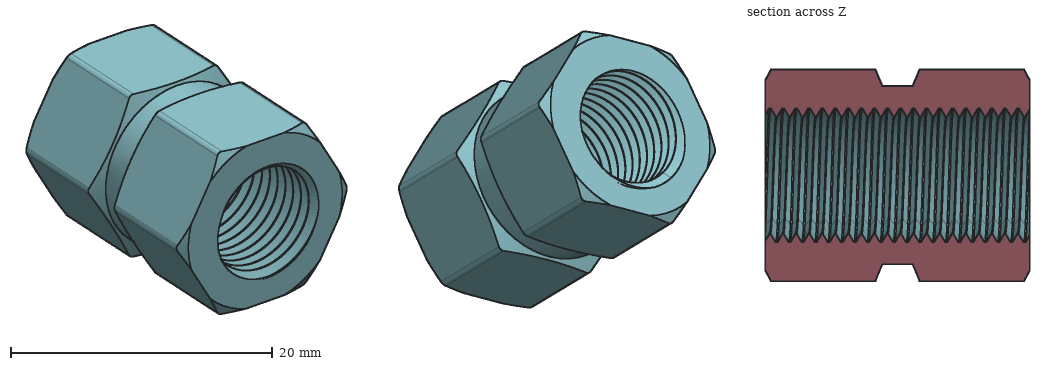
import cadquery as cq
import math

LENGTH = 20.3
ACROSS_FLATS = 14.2
CORNER_RADIUS = 0.5
ACROSS_CORNERS = ACROSS_FLATS / math.cos(math.radians(30))

NECK_LENGTH = 2.3
NECK_DIAMETER = 13.7
NECK_CHAMFER_ANGLE = 23.0

FACE_DIAMETER = 14.65
FACE_CHAMFER_ANGLE = 30.0

BORE_DIAMETER = 8.9
THREAD_ROOT_DIAMETER = 10.25
THREAD_PITCH = 1.0
CREST_FLAT = THREAD_PITCH / 12
ROOT_FLAT = THREAD_PITCH / 8
THREAD_START_ANGLE = 222.0
GROOVE_OVERLAP = 0.03


def hexagon_bar():
    """Hexagonal bar with rounded long edges and corners on the Y axis."""
    bar = cq.Workplane("YZ").polygon(6, ACROSS_CORNERS).extrude(LENGTH / 2, both=True)
    return bar.edges("|X").fillet(CORNER_RADIUS)


def turned_envelope():
    """Solid of revolution giving the end chamfers, the neck and its conical shoulders."""
    outer_radius = ACROSS_CORNERS / 2
    face_radius = FACE_DIAMETER / 2
    neck_radius = NECK_DIAMETER / 2
    half_length = LENGTH / 2
    half_neck = NECK_LENGTH / 2
    end_chamfer = (outer_radius - face_radius) * math.tan(math.radians(FACE_CHAMFER_ANGLE))
    shoulder = (outer_radius - neck_radius) * math.tan(math.radians(NECK_CHAMFER_ANGLE))
    return (
        cq.Workplane("XY")
        .moveTo(-half_length, 0)
        .lineTo(-half_length, face_radius)
        .lineTo(-half_length + end_chamfer, outer_radius)
        .lineTo(-half_neck - shoulder, outer_radius)
        .lineTo(-half_neck, neck_radius)
        .lineTo(half_neck, neck_radius)
        .lineTo(half_neck + shoulder, outer_radius)
        .lineTo(half_length - end_chamfer, outer_radius)
        .lineTo(half_length, face_radius)
        .lineTo(half_length, 0)
        .close()
        .revolve(360, (0, 0, 0), (1, 0, 0))
    )


def bore():
    """Plain cylinder at the thread's crest diameter."""
    return cq.Workplane("YZ").circle(BORE_DIAMETER / 2).extrude(LENGTH / 2, both=True)


def thread_turn():
    """One turn of the flat-rooted V groove, starting centred on X = 0."""
    crest_radius = BORE_DIAMETER / 2
    root_radius = THREAD_ROOT_DIAMETER / 2
    inner_radius = crest_radius - GROOVE_OVERLAP
    half_root = ROOT_FLAT / 2
    half_mouth = (THREAD_PITCH - CREST_FLAT) / 2
    flank_slope = (half_mouth - half_root) / (root_radius - crest_radius)
    half_inner = half_mouth + flank_slope * GROOVE_OVERLAP
    helix = cq.Wire.makeHelix(THREAD_PITCH, THREAD_PITCH, crest_radius)
    groove = (
        cq.Workplane("XZ")
        .moveTo(inner_radius, -half_inner)
        .lineTo(root_radius, -half_root)
        .lineTo(root_radius, half_root)
        .lineTo(inner_radius, half_inner)
        .close()
        .sweep(cq.Workplane(helix), isFrenet=True)
    )
    laid_along_x = groove.rotate((0, 0, 0), (0, 1, 0), 90)
    return laid_along_x.rotate((0, 0, 0), (1, 0, 0), THREAD_START_ANGLE + 90)


def cut_thread(blank):
    """Cut the groove turn by turn, from one pitch before the -X face to past the +X face."""
    turn = thread_turn()
    turn_count = math.ceil(LENGTH / THREAD_PITCH) + 2
    threaded = blank
    for index in range(turn_count):
        start_x = -LENGTH / 2 + (index - 1) * THREAD_PITCH
        threaded = threaded.cut(turn.translate((start_x, 0, 0)))
    return threaded


body = hexagon_bar().intersect(turned_envelope()).cut(bore())
result = cut_thread(body)